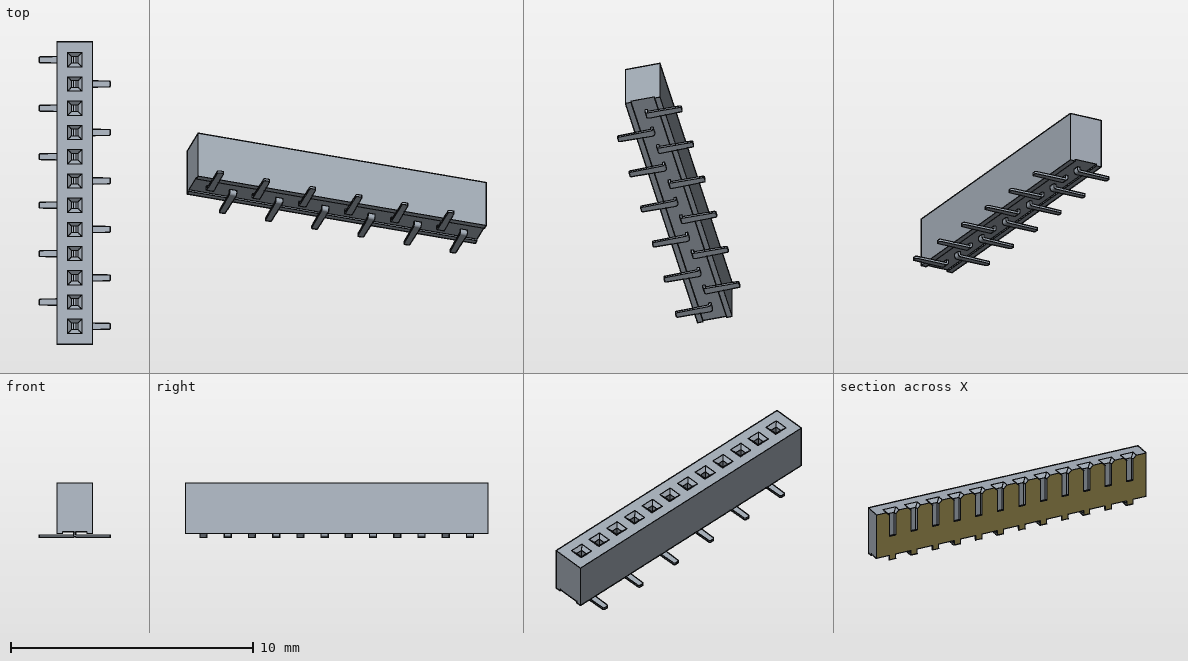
import cadquery as cq

body_length = 12.5
body_width = 1.48
total_height = 2.25
lead_span = 2.95

standoff = 0.15
rail_width = 0.24
rail_height = 0.08

contact_count = 12
pitch = 1.0

funnel_mouth = 0.59
funnel_depth = 0.15
socket_side = 0.28
socket_depth = 1.25

strip_thickness = 0.1
lead_width = 0.3
tip_width = 0.25
inner_bend_radius = 0.01
tip_radius = 0.06
contact_rise = 0.12

underside_z = standoff + rail_height
socket_floor_z = total_height - socket_depth
contact_top_z = socket_floor_z + contact_rise
contact_ys = [(i - (contact_count - 1) / 2) * pitch for i in range(contact_count)]


def box(x_size, y_size, bottom_z, top_z):
    """Box centred on the Z axis between two heights."""
    block = cq.Workplane("XY").box(x_size, y_size, top_z - bottom_z, centered=(True, True, False))
    return block.translate((0, 0, bottom_z))


def make_housing():
    """Block with a wide channel along its underside, leaving a rail on each side."""
    block = box(body_width, body_length, standoff, total_height)
    channel = box(body_width - 2 * rail_width, body_length, standoff, underside_z)
    return block.cut(channel)


def make_socket():
    """Square pyramid funnel that leads down into a blind square socket."""
    funnel = (
        cq.Workplane("XY", origin=(0, 0, total_height))
        .rect(funnel_mouth, funnel_mouth)
        .workplane(offset=-funnel_depth)
        .rect(socket_side, socket_side)
        .loft(ruled=True)
    )
    socket = box(socket_side, socket_side, socket_floor_z, total_height - funnel_depth)
    return funnel.union(socket)


def make_strip_outline():
    """Prism around a strip: full width at the post, then narrowing slightly to the tip."""
    upper_edge = [
        (-lead_span / 2, lead_width / 2),
        (strip_thickness / 2, lead_width / 2),
        (lead_span / 2, tip_width / 2),
    ]
    lower_edge = [(x, -y) for x, y in reversed(upper_edge)]
    return cq.Workplane("XY").polyline(upper_edge + lower_edge).close().extrude(total_height)


def make_contact(side):
    """L-shaped strip: a post in the socket bent into a lead towards side (+1 or -1) along X."""
    half_thickness = strip_thickness / 2
    outer_bend_radius = inner_bend_radius + strip_thickness
    tip_x = lead_span / 2
    profile = [
        (-half_thickness, 0),
        (tip_x, 0),
        (tip_x, strip_thickness),
        (half_thickness, strip_thickness),
        (half_thickness, contact_top_z),
        (-half_thickness, contact_top_z),
    ]
    strip = (
        cq.Workplane("XZ")
        .polyline(profile)
        .close()
        .extrude(lead_width / 2, both=True)
    )
    inner_corner = cq.selectors.NearestToPointSelector((half_thickness, 0, strip_thickness))
    outer_corner = cq.selectors.NearestToPointSelector((-half_thickness, 0, 0))
    strip = strip.edges("|Y").edges(inner_corner).fillet(inner_bend_radius)
    strip = strip.edges("|Y").edges(outer_corner).fillet(outer_bend_radius)
    strip = strip.intersect(make_strip_outline())
    strip = strip.faces(">X").edges("|Z").fillet(tip_radius)
    if side < 0:
        strip = strip.mirror("YZ")
    return strip


result = make_housing()
for y in contact_ys:
    result = result.cut(make_socket().translate((0, y, 0)))

for index, y in enumerate(contact_ys):
    side = 1 if index % 2 == 0 else -1
    result = result.union(make_contact(side).translate((0, y, 0)))